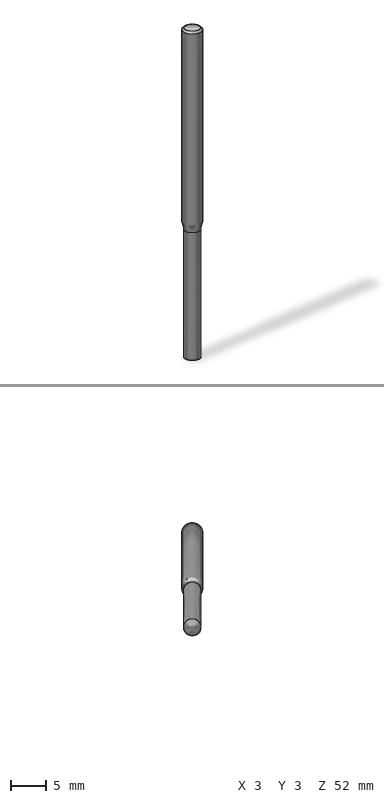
import cadquery as cq
import math

total_length = 52.0
point_height = 0.4
cutter_length = 20.45
blend_height = 0.8
taper_end = cutter_length + blend_height

shank_radius = 1.5
cutter_radius = 1.25
top_chamfer = 0.3
taper_angle = math.radians(17)

blend_radius = blend_height / math.sin(taper_angle)
taper_end_radius = cutter_radius + blend_radius * (1 - math.cos(taper_angle))
taper_height = (shank_radius - taper_end_radius) / math.tan(taper_angle)
shank_start = taper_end + taper_height


def revolve_profile(outline):
    """Turn an open (radius, height) outline, closed along the Z axis, into a solid."""
    return outline.close().revolve(360, (0, 0, 0), (0, 1, 0))


def make_cutter():
    """Slim cylindrical cutting length ending in a shallow conical point."""
    outline = (
        cq.Workplane("XZ")
        .moveTo(0, 0)
        .lineTo(cutter_radius, point_height)
        .lineTo(cutter_radius, cutter_length)
        .lineTo(0, cutter_length)
    )
    return revolve_profile(outline)


def make_shank():
    """Shank with a chamfered top, tapering and blending down to the cutter."""
    outline = (
        cq.Workplane("XZ")
        .moveTo(0, cutter_length)
        .lineTo(cutter_radius, cutter_length)
        .radiusArc((taper_end_radius, taper_end), blend_radius)
        .lineTo(shank_radius, shank_start)
        .lineTo(shank_radius, total_length - top_chamfer)
        .lineTo(shank_radius - top_chamfer, total_length)
        .lineTo(0, total_length)
    )
    return revolve_profile(outline)


cutter = make_cutter()
shank = make_shank()

result = cq.Compound.makeCompound([cutter.val(), shank.val()])